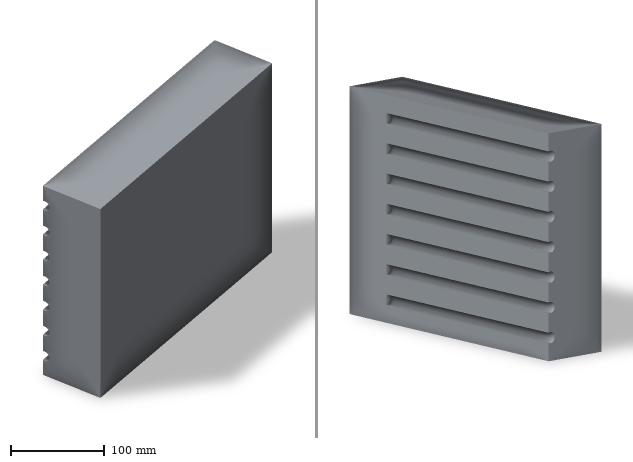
import cadquery as cq

width = 75.0
length = 325.0
height = 250.0

groove_count = 7
groove_pitch = 33.0
groove_diameter = 12.5
groove_axis_depth = 2.45
groove_length = 265.0

block = cq.Workplane("XY").box(width, length, height)


def groove(z):
    """Round bar lying along Y, its axis just inside the -X face."""
    return (
        cq.Workplane("XZ", origin=(-width / 2 + groove_axis_depth, -length / 2, z))
        .circle(groove_diameter / 2)
        .extrude(-groove_length)
    )


result = block
for index in range(groove_count):
    offset = index - (groove_count - 1) / 2
    result = result.cut(groove(offset * groove_pitch))